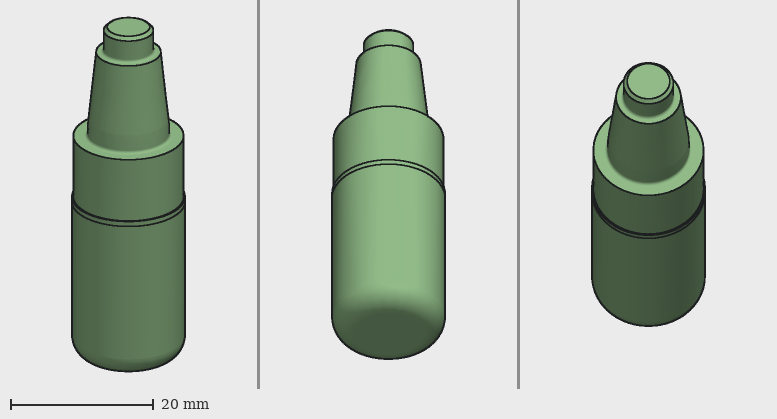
import cadquery as cq
import math

total_height = 51.1
outer_radius = 15.9 / 2

joint_z = 23.8
bottom_round = 3.05

collar_height = 0.75
barrel_radius = 15.5 / 2
barrel_top_z = 34.15
neck_top_z = 47.2
neck_top_radius = 4.55
taper_bottom_z = 36.9
taper_bottom_radius = 5.6
tip_radius = 7.0 / 2
tip_chamfer = 0.5
root_fillet = 0.45


def make_base():
    """Lower cylinder, from the floor up to the joint."""
    return (
        cq.Workplane("XY")
        .circle(outer_radius)
        .extrude(joint_z)
        .faces("<Z")
        .edges()
        .fillet(bottom_round)
    )


def fillet_midpoint(wall_radius, floor_z):
    """Middle of the concave quarter arc between a vertical wall and a flat shoulder."""
    inset = root_fillet * (1 - math.sqrt(0.5))
    return wall_radius + inset, floor_z + inset


def make_nozzle():
    """Upper stepped body, revolved from its half profile (radius, height)."""
    collar_top_z = joint_z + collar_height

    foot_bottom_z = barrel_top_z + root_fillet
    taper_angle = math.atan2(taper_bottom_radius - neck_top_radius, neck_top_z - taper_bottom_z)
    foot_arc_radius = (taper_bottom_z - foot_bottom_z) / math.sin(taper_angle)
    foot_center_radius = taper_bottom_radius - foot_arc_radius * math.cos(taper_angle)
    foot_radius = foot_center_radius + foot_arc_radius
    foot_midpoint = (
        foot_center_radius + foot_arc_radius * math.cos(taper_angle / 2),
        foot_bottom_z + foot_arc_radius * math.sin(taper_angle / 2),
    )

    profile = (
        cq.Workplane("XZ")
        .moveTo(0, joint_z)
        .lineTo(outer_radius, joint_z)
        .lineTo(outer_radius, collar_top_z)
        .lineTo(barrel_radius, collar_top_z)
        .lineTo(barrel_radius, barrel_top_z)
        .lineTo(foot_radius + root_fillet, barrel_top_z)
        .threePointArc(fillet_midpoint(foot_radius, barrel_top_z), (foot_radius, foot_bottom_z))
        .threePointArc(foot_midpoint, (taper_bottom_radius, taper_bottom_z))
        .lineTo(neck_top_radius, neck_top_z)
        .lineTo(tip_radius + root_fillet, neck_top_z)
        .threePointArc(fillet_midpoint(tip_radius, neck_top_z), (tip_radius, neck_top_z + root_fillet))
        .lineTo(tip_radius, total_height - tip_chamfer)
        .lineTo(tip_radius - tip_chamfer, total_height)
        .lineTo(0, total_height)
        .close()
    )
    return profile.revolve(360, (0, 0, 0), (0, 1, 0))


base = make_base()
nozzle = make_nozzle()

result = cq.Compound.makeCompound([base.val(), nozzle.val()])